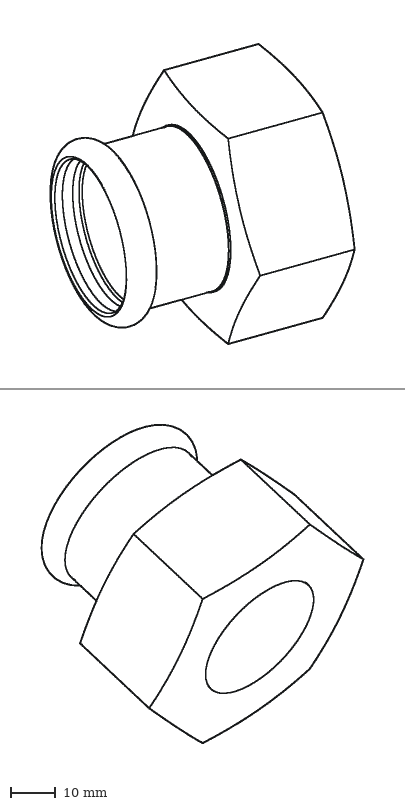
import cadquery as cq
import math

across_corners = 63.5
across_flats = across_corners * math.cos(math.radians(30))
nut_length = 26.1
nut_chamfer_angle = 15.0
envelope_margin = 0.65

total_length = 52.0
sleeve_radius = 38.4 / 2
collar_radius = 19.45
collar_length = 0.45
nut_start = total_length - nut_length

bead_width = 7.4
bead_tube_radius = bead_width / 2
bead_outer_radius = 21.9
bead_centre_radius = bead_outer_radius - bead_tube_radius

mouth_radius = 18.6
seat_radius = 35.8 / 2
guide_radius = 35.4 / 2
socket_radius = 17.35
shoulder_radius = 16.45
through_radius = 32.0 / 2
mouth_rounding_radius = 0.75
mouth_rounding_length = 0.6
seal_width = 2.5
seal_height = 0.5
seal_centre = bead_tube_radius
seal_start = seal_centre - seal_width / 2
seal_end = seal_centre + seal_width / 2
guide_end = 6.55
guide_taper_length = 0.65
socket_start = guide_end + guide_taper_length
socket_end = 27.95
shoulder_chamfer_length = 0.45


def revolve_about_y(profile):
    """Revolve a closed (radius, Y) outline fully about the Y axis."""
    return profile.close().revolve(360, (0, 0, 0), (0, 1, 0))


def cylinder(radius, start, end):
    return cq.Workplane("XZ", origin=(0, start, 0)).circle(radius).extrude(start - end)


def make_nut():
    """Hexagon with corners on the X axis and both ends chamfered conically."""
    hexagon = (
        cq.Workplane("XZ", origin=(0, nut_start, 0))
        .polygon(6, across_corners)
        .extrude(-nut_length)
    )
    flat_radius = across_flats / 2
    envelope_radius = across_corners / 2 + envelope_margin
    drop = (envelope_radius - flat_radius) * math.tan(math.radians(nut_chamfer_angle))
    envelope = revolve_about_y(
        cq.Workplane("XY")
        .moveTo(0, nut_start)
        .lineTo(flat_radius, nut_start)
        .lineTo(envelope_radius, nut_start + drop)
        .lineTo(envelope_radius, total_length - drop)
        .lineTo(flat_radius, total_length)
        .lineTo(0, total_length)
    )
    return hexagon.intersect(envelope)


def make_sleeve():
    sleeve = cylinder(sleeve_radius, bead_tube_radius, total_length)
    collar = cylinder(collar_radius, nut_start - collar_length, total_length)
    bead = revolve_about_y(
        cq.Workplane("XY")
        .lineTo(bead_centre_radius, 0)
        .threePointArc(
            (bead_outer_radius, bead_tube_radius),
            (bead_centre_radius, bead_width),
        )
        .lineTo(0, bead_width)
    )
    return sleeve.union(collar).union(bead)


def make_bore():
    """Stepped bore with a rounded mouth, an inward seal ring and a stop shoulder."""
    return revolve_about_y(
        cq.Workplane("XY")
        .lineTo(mouth_radius, 0)
        .radiusArc((seat_radius, mouth_rounding_length), -mouth_rounding_radius)
        .lineTo(seat_radius, seal_start)
        .threePointArc((seat_radius - seal_height, seal_centre), (guide_radius, seal_end))
        .lineTo(guide_radius, guide_end)
        .lineTo(socket_radius, socket_start)
        .lineTo(socket_radius, socket_end)
        .lineTo(shoulder_radius, socket_end)
        .lineTo(through_radius, socket_end + shoulder_chamfer_length)
        .lineTo(through_radius, total_length)
        .lineTo(0, total_length)
    )


result = make_nut().union(make_sleeve()).cut(make_bore())